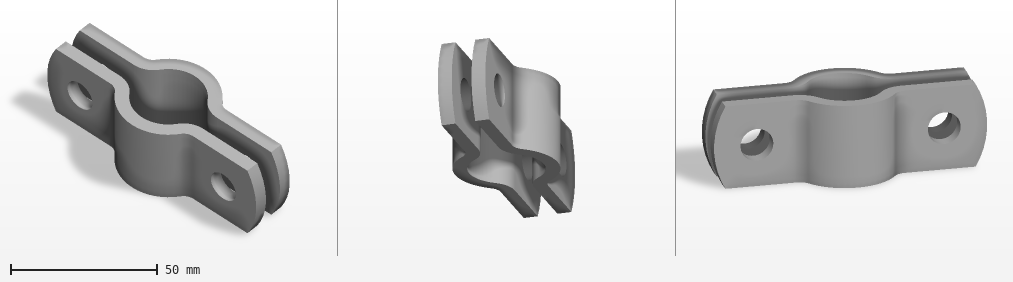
import cadquery as cq
import math

length = 96.0
height = 30.0
thickness = 5.0
saddle_radius = 18.4
half_gap = 3.6
bend_radius = thickness
end_radius = height
hole_diameter = 11.5
hole_offset = 32.9

bore_radius = saddle_radius - thickness
ear_outer = half_gap + thickness
bend_outer_radius = bend_radius + thickness
bend_distance = saddle_radius + bend_radius
bend_y = ear_outer + bend_radius
bend_x = math.sqrt(bend_distance**2 - bend_y**2)
bend_angle = math.atan2(bend_y, bend_x)


def saddle_point(radius, side):
    """Point where a saddle arc runs into the bend on the given X side."""
    return (side * radius * math.cos(bend_angle), radius * math.sin(bend_angle))


def bend_middle(radius, side):
    """Middle point of a bend arc, between the ear and the saddle."""
    half_sweep = (math.pi / 2 - bend_angle) / 2
    return (
        side * (bend_x - radius * math.sin(half_sweep)),
        bend_y - radius * math.cos(half_sweep),
    )


def strap():
    """Bent strip on the +Y side: ear, bend, saddle, bend, ear."""
    tip_x = length / 2
    return (
        cq.Workplane("XY")
        .workplane(offset=-height / 2)
        .moveTo(-tip_x, ear_outer)
        .lineTo(-bend_x, ear_outer)
        .threePointArc(bend_middle(bend_radius, -1), saddle_point(saddle_radius, -1))
        .threePointArc((0, saddle_radius), saddle_point(saddle_radius, 1))
        .threePointArc(bend_middle(bend_radius, 1), (bend_x, ear_outer))
        .lineTo(tip_x, ear_outer)
        .lineTo(tip_x, half_gap)
        .lineTo(bend_x, half_gap)
        .threePointArc(bend_middle(bend_outer_radius, 1), saddle_point(bore_radius, 1))
        .threePointArc((0, bore_radius), saddle_point(bore_radius, -1))
        .threePointArc(bend_middle(bend_outer_radius, -1), (-bend_x, half_gap))
        .lineTo(-tip_x, half_gap)
        .close()
        .extrude(height)
    )


def rounded_end_envelope():
    """Block with arced ends that trims the ear tips."""
    tip_x = length / 2
    half_height = height / 2
    corner_x = tip_x - end_radius + math.sqrt(end_radius**2 - half_height**2)
    return (
        cq.Workplane("XZ")
        .moveTo(-corner_x, half_height)
        .lineTo(corner_x, half_height)
        .threePointArc((tip_x, 0), (corner_x, -half_height))
        .lineTo(-corner_x, -half_height)
        .threePointArc((-tip_x, 0), (-corner_x, half_height))
        .close()
        .extrude(saddle_radius, both=True)
    )


def bolt_holes():
    """Cutters for the bolt hole in each ear."""
    return (
        cq.Workplane("XZ")
        .pushPoints([(-hole_offset, 0), (hole_offset, 0)])
        .circle(hole_diameter / 2)
        .extrude(saddle_radius, both=True)
    )


def clamp_half(turn):
    """One clamp half, turned about Z by the given angle in degrees."""
    half = strap().intersect(rounded_end_envelope()).cut(bolt_holes())
    return half.rotate((0, 0, 0), (0, 0, 1), turn)


clamp_halves = [clamp_half(turn).solids().val() for turn in (0, 180)]

result = cq.Compound.makeCompound(clamp_halves)